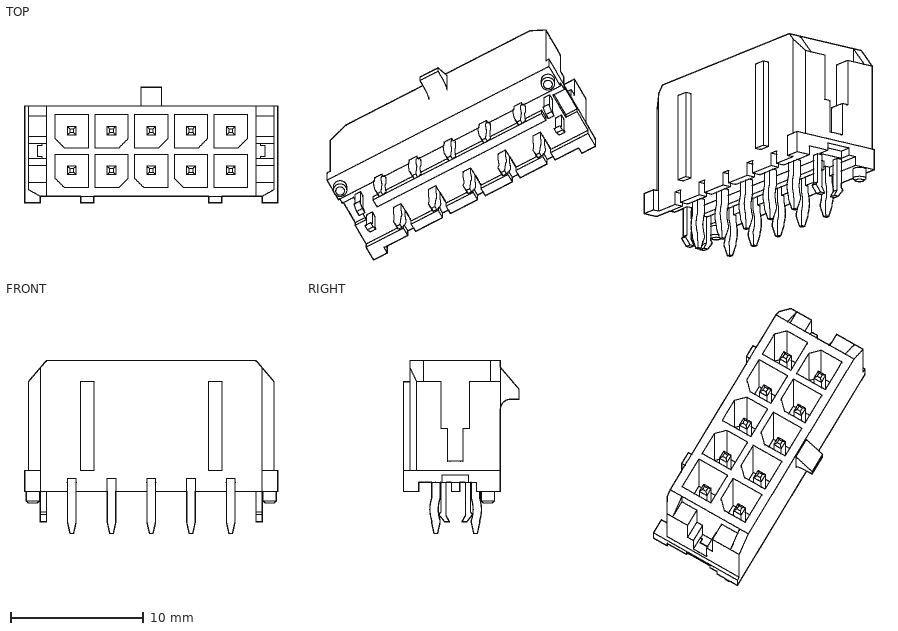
import cadquery as cq


columns = 5
pitch = 3.0
row_sides = (1, -1)
column_places = [(column - (columns - 1) / 2) * pitch for column in range(columns)]

overall_height = 13.1
housing_height = 9.92
housing_depth = 6.85
housing_width = 18.61
back_face = housing_depth / 2
front_face = -housing_depth / 2
side_face = housing_width / 2
top_half_width = 7.93
front_half_width = 8.39
corner_cut_depth = 0.52
shoulder_height = 8.31

base_width = 19.15
base_height = 1.6
front_projection = 0.5

end_recess_back = 2.66
end_recess_front = -2.4
wide_slot_width = 2.18
wide_slot_floor = 4.79
narrow_slot_width = 1.15
narrow_slot_floor = 2.3

cavity_size = 2.5
cavity_floor = 1.92
key_cut = 0.69
back_row_keys = (-1, 1, 1, 1, 1)
front_row_keys = (-1, 1, -1, -1, 0)

rib_spacing = 9.69
rib_width = 1.0

channel_back = 1.63
channel_front = -2.74
channel_height = 0.69
keel_width = 0.65
keel_length = 14.55
notch_width = 0.67
notch_height = 1.0

latch_width = 1.57
latch_projection = 1.42
latch_top = 9.4
latch_nose_top = 7.74
latch_nose_bottom = 6.97
latch_fillet = 0.75

peg_spacing = 17.92
peg_y = 2.47
peg_radius = 0.507
peg_length = 0.88
peg_chamfer = 0.17

metal_offset = 0.04
pin_thickness = 0.65
pin_top = 7.66
pin_tip_size = 0.29
pin_point_length = 0.33
pin_bend_start = -0.52
pin_bend_end = -2.18
pin_bend_bulge = 0.13
pin_taper_start = -2.35
pin_bottom = housing_height - overall_height

clip_spacing = 16.32
clip_thickness = 0.5
clip_inner = 0.73
clip_outer = 1.13
clip_barb = 1.28
clip_toe_inner = 0.46
clip_toe_outer = 0.85
clip_root = 1.26
clip_straight_end = -1.55
clip_barb_z = -1.75
clip_knee_z = -1.82
clip_bottom = -2.3

relief_width = 2.03
relief_top = 1.26
relief_inner_x = 8.6
recess_neck_x = 8.27
recess_outer_x = 8.6
recess_width = 0.8
recess_depth = 0.15


def box(x_range, y_range, z_range):
    """Box between the given pairs of limits."""
    size = [high - low for low, high in (x_range, y_range, z_range)]
    start = (x_range[0], y_range[0], z_range[0])
    return cq.Workplane("XY").box(*size, centered=False).translate(start)


def centred(width, middle=0):
    """Pair of limits spread evenly about a middle place."""
    return (middle - width / 2, middle + width / 2)


def both_ends(solid):
    """Solid at the +X end joined with its mirror image at the -X end."""
    return solid.union(solid.mirror("YZ"))


def make_shell():
    """Outer block: sloped shoulders, cut front corners and base flange."""
    elevation = (
        cq.Workplane("XZ")
        .polyline([
            (-side_face, 0),
            (-side_face, shoulder_height),
            (-top_half_width, housing_height),
            (top_half_width, housing_height),
            (side_face, shoulder_height),
            (side_face, 0),
        ])
        .close()
        .extrude(housing_depth / 2, both=True)
    )
    plan = (
        cq.Workplane("XY")
        .polyline([
            (-side_face, back_face),
            (side_face, back_face),
            (side_face, front_face + corner_cut_depth),
            (front_half_width, front_face),
            (-front_half_width, front_face),
            (-side_face, front_face + corner_cut_depth),
        ])
        .close()
        .extrude(housing_height)
    )
    flange = box(centred(base_width), (front_face, back_face), (0, base_height))
    foot = box(
        (front_half_width, base_width / 2),
        (front_face - front_projection, front_face),
        (0, base_height),
    )
    return elevation.intersect(plan).union(flange).union(both_ends(foot))


def make_end_cut():
    """Recess between the shoulders and the stepped slot below it."""
    x_range = (top_half_width, side_face)
    cut = box(x_range, (end_recess_front, end_recess_back), (shoulder_height, housing_height))
    cut = cut.union(box(x_range, centred(wide_slot_width), (wide_slot_floor, housing_height)))
    cut = cut.union(box(x_range, centred(narrow_slot_width), (narrow_slot_floor, housing_height)))
    return both_ends(cut)


def make_cavity(x, y, key_side):
    """Square contact cavity with one front corner cut off as a key."""
    cavity = box(centred(cavity_size, x), centred(cavity_size, y), (cavity_floor, housing_height))
    if key_side == 0:
        return cavity
    corner_x = x + key_side * cavity_size / 2
    corner_y = y - cavity_size / 2
    key = (
        cq.Workplane("XY", origin=(0, 0, cavity_floor))
        .polyline([
            (corner_x, corner_y),
            (corner_x - key_side * key_cut, corner_y),
            (corner_x, corner_y + key_cut),
        ])
        .close()
        .extrude(housing_height - cavity_floor)
    )
    return cavity.cut(key)


def make_underside_cut():
    """Channel along the underside, leaving a keel, with a front notch at each column."""
    channel = box(centred(base_width), (channel_front, channel_back), (0, channel_height))
    keel = box(centred(keel_length), centred(keel_width, metal_offset), (0, channel_height))
    cut = channel.cut(keel)
    for x in column_places:
        cut = cut.union(box(centred(notch_width, x), (front_face, -pitch / 2), (0, notch_height)))
    return cut


def make_end_relief():
    """Relief that opens the channel upwards at the end faces."""
    return both_ends(
        box((relief_inner_x, base_width / 2), centred(relief_width), (channel_height, relief_top))
    )


def make_slot_floor_recess():
    """Shallow T-shaped recess in the floor of each end slot."""
    z_range = (narrow_slot_floor - recess_depth, narrow_slot_floor)
    wide_part = box((top_half_width, recess_neck_x), centred(narrow_slot_width), z_range)
    narrow_part = box((recess_neck_x, recess_outer_x), centred(recess_width), z_range)
    return both_ends(wide_part.union(narrow_part))


def make_rib(x):
    """Upright polarising rib on the front wall."""
    y_range = (front_face - front_projection, front_face)
    return box(centred(rib_width, x), y_range, (base_height, shoulder_height))


def make_latch():
    """Latch ramp with a filleted underside."""
    nose = back_face + latch_projection
    profile = (
        cq.Workplane("YZ")
        .moveTo(back_face, latch_top)
        .lineTo(nose, latch_nose_top)
        .lineTo(nose, latch_nose_bottom)
        .lineTo(back_face + latch_fillet, latch_nose_bottom)
        .radiusArc((back_face, latch_nose_bottom - latch_fillet), -latch_fillet)
        .close()
    )
    return profile.extrude(latch_width / 2, both=True)


def make_peg(x):
    """Round locating peg with a chamfered end."""
    return (
        cq.Workplane("XY", origin=(x, peg_y, 0))
        .circle(peg_radius)
        .extrude(-peg_length)
        .faces("<Z")
        .chamfer(peg_chamfer)
    )


def make_pin(x, row_side):
    """Square contact pin, pointed at the top, bowed outward and tapered below the board."""
    y = row_side * pitch / 2 + metal_offset
    bend_middle = (pin_bend_start + pin_bend_end) / 2
    near = y - pin_thickness / 2
    far = y + pin_thickness / 2
    bulge = row_side * pin_bend_bulge
    shaft_top = pin_top - pin_point_length
    shaft = (
        cq.Workplane("YZ", origin=(x, 0, 0))
        .moveTo(near, shaft_top)
        .lineTo(near, pin_bend_start)
        .threePointArc((near + bulge, bend_middle), (near, pin_bend_end))
        .lineTo(near, pin_taper_start)
        .lineTo(far, pin_taper_start)
        .lineTo(far, pin_bend_end)
        .threePointArc((far + bulge, bend_middle), (far, pin_bend_start))
        .lineTo(far, shaft_top)
        .close()
        .extrude(pin_thickness / 2, both=True)
    )
    return shaft.union(make_point(x, y, shaft_top, pin_top)).union(
        make_point(x, y, pin_taper_start, pin_bottom)
    )


def make_point(x, y, wide_z, tip_z):
    """Square taper from the pin's section to its blunt tip."""
    return (
        cq.Workplane("XY", origin=(x, y, wide_z))
        .rect(pin_thickness, pin_thickness)
        .workplane(offset=tip_z - wide_z)
        .rect(pin_tip_size, pin_tip_size)
        .loft(ruled=True)
    )


def make_clip():
    """Barbed pair of board clip legs at each end, rooted in the base."""
    leg = (
        cq.Workplane("YZ", origin=(clip_spacing / 2, 0, 0))
        .polyline([
            (clip_inner, clip_root),
            (clip_outer, clip_root),
            (clip_outer, clip_straight_end),
            (clip_barb, clip_barb_z),
            (clip_toe_outer, clip_bottom),
            (clip_toe_inner, clip_bottom),
            (clip_inner, clip_knee_z),
        ])
        .close()
        .extrude(clip_thickness / 2, both=True)
    )
    clip = leg.union(leg.mirror("XZ"))
    return both_ends(clip.translate((0, metal_offset, 0)))


result = make_shell().cut(make_end_cut()).cut(make_slot_floor_recess())
result = result.cut(make_underside_cut()).cut(make_end_relief())
for row_side, keys in zip(row_sides, (back_row_keys, front_row_keys)):
    for x, key_side in zip(column_places, keys):
        result = result.cut(make_cavity(x, row_side * pitch / 2, key_side))

for side in (-1, 1):
    result = result.union(make_rib(side * rib_spacing / 2))
    result = result.union(make_peg(side * peg_spacing / 2))
result = result.union(make_latch())

result = result.union(make_clip())
for row_side in row_sides:
    for x in column_places:
        result = result.union(make_pin(x, row_side))